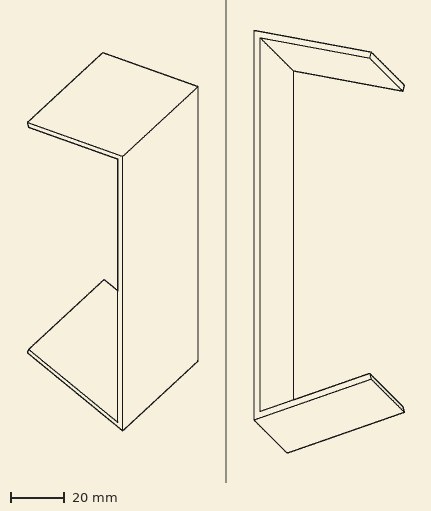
import cadquery as cq
import math

height = 151.0
depth = 45.3
width = 45.0
thickness = 2.4
flange_slope = math.radians(15.0)

half_height = height / 2
half_depth = depth / 2
web_inner_x = half_depth - thickness

end_outer_x = -half_depth
end_outer_z = half_height - depth * math.tan(flange_slope)
end_inner_x = end_outer_x + thickness * math.sin(flange_slope)
end_inner_z = end_outer_z - thickness * math.cos(flange_slope)

corner_inner_z = end_inner_z + (web_inner_x - end_inner_x) * math.tan(flange_slope)

upper_outline = [
    (half_depth, half_height),
    (end_outer_x, end_outer_z),
    (end_inner_x, end_inner_z),
    (web_inner_x, corner_inner_z),
]
lower_outline = [(x, -z) for x, z in reversed(upper_outline)]

result = (
    cq.Workplane("XZ")
    .polyline(upper_outline + lower_outline)
    .close()
    .extrude(width / 2, both=True)
)